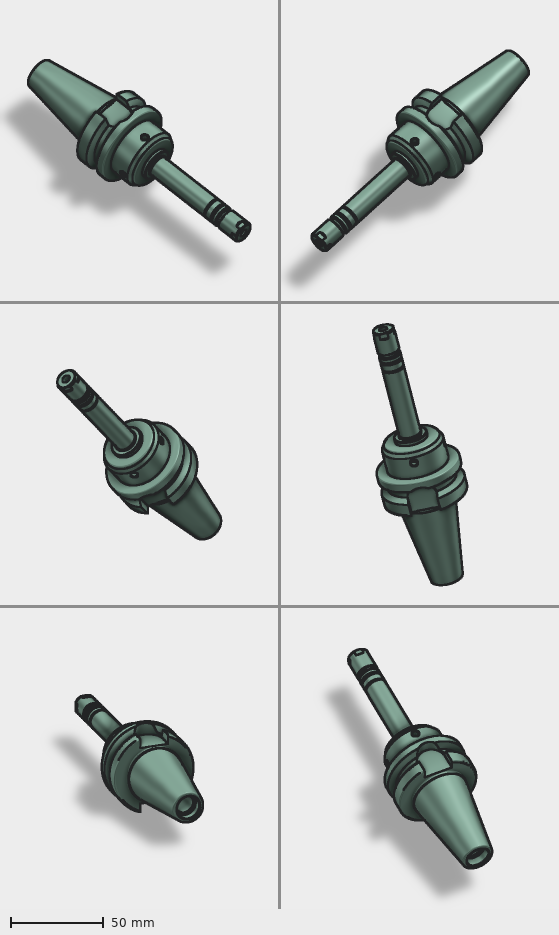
import cadquery as cq
import math

length = 153.4

gauge_x = 48.3
gauge_radius = 15.8
taper_ratio = 7 / 24
tail_round = 0.9
relief_radius = 30.8 / 2
relief_end = 49.5

flange_x = 50.5
flange_end = 70.4
flange_radius = 23.0
rim_round = 0.9
groove_radius = 19.2
groove_top = (57.8, 65.5)
groove_floor = (60.1, 63.5)

slot_width = 16.1
slot_floor = 16.3
slot_end = 67.0

body_radius = 34.0 / 2
body_bevel_start = 82.7
body_bevel_end = 85.0
body_bevel_radius = 15.5
body_end = 86.2
collar_radius = 18.1 / 2
collar_end = 88.5
collar_chamfer = 0.3
step_radius = 12.6 / 2
step_end = 89.5

stem_radius = 12.0 / 2
ring_depth = 0.23
ring_grooves = ((129.5, 130.4), (134.2, 135.6))
stem_bevel_start = 137.8
stem_end = 138.4
stem_bevel = 0.3
gap_radius = 10.0 / 2
nut_start = 140.5
nose_chamfer = 0.6

flat_distance = 5.5
flat_start = 150.2
flat_ramp = 0.5

cone_half_angle = math.radians(59)

mouth_radius = 13.8 / 2
pilot_radius = 12.9 / 2
pilot_depth = 5.5
thread_entry_radius = 12.0 / 2
thread_radius = 10.5 / 2
thread_depth = 24.1
through_radius = 4.5 / 2

screw_x = 79.5
screw_mouth_radius = 4.5 / 2
screw_radius = 3.5 / 2
screw_depth = 4.6

quarter_turns = (0, 90, 180, 270)


def around_axis(body, angle):
    return body.rotate((0, 0, 0), (1, 0, 0), angle)


def taper_radius(x):
    return gauge_radius - (gauge_x - x) * taper_ratio / 2


def rising_round(profile, x, outer_radius, size):
    """Quarter round from the face at x out to the rim at outer_radius."""
    inset = size * (1 - math.sqrt(0.5))
    return profile.lineTo(x, outer_radius - size).threePointArc(
        (x + inset, outer_radius - inset), (x + size, outer_radius)
    )


def falling_round(profile, x, outer_radius, size):
    """Quarter round from the rim at outer_radius in to the face at x."""
    inset = size * (1 - math.sqrt(0.5))
    return profile.lineTo(x - size, outer_radius).threePointArc(
        (x - inset, outer_radius - inset), (x, outer_radius - size)
    )


def hollow_round(profile, x, inner_radius, size):
    """Concave quarter round from a cylinder of inner_radius up to the face at x."""
    inset = size * (1 - math.sqrt(0.5))
    return profile.lineTo(x - size, inner_radius).threePointArc(
        (x - inset, inner_radius + inset), (x, inner_radius + size)
    )


def revolved_body():
    """Outer shape, turned about X."""
    profile = cq.Workplane("XY").moveTo(0, 0)
    profile = rising_round(profile, 0, taper_radius(tail_round), tail_round)
    profile = profile.lineTo(gauge_x, gauge_radius).lineTo(gauge_x, relief_radius)
    profile = hollow_round(profile, flange_x, relief_radius, flange_x - relief_end)
    profile = rising_round(profile, flange_x, flange_radius, rim_round)
    profile = (
        profile.lineTo(groove_top[0], flange_radius)
        .lineTo(groove_floor[0], groove_radius)
        .lineTo(groove_floor[1], groove_radius)
        .lineTo(groove_top[1], flange_radius)
    )
    profile = falling_round(profile, flange_end, flange_radius, rim_round)
    profile = profile.lineTo(flange_end, body_radius).lineTo(body_bevel_start, body_radius)
    profile = falling_round(profile, body_end, body_bevel_radius, body_end - body_bevel_end)
    profile = (
        profile.lineTo(body_end, collar_radius)
        .lineTo(collar_end - collar_chamfer, collar_radius)
        .lineTo(collar_end, collar_radius - collar_chamfer)
        .lineTo(collar_end, step_radius)
        .lineTo(step_end, step_radius)
        .lineTo(step_end, stem_radius)
    )
    for start, end in ring_grooves:
        profile = (
            profile.lineTo(start, stem_radius)
            .lineTo((start + end) / 2, stem_radius - ring_depth)
            .lineTo(end, stem_radius)
        )
    profile = (
        profile.lineTo(stem_bevel_start, stem_radius)
        .lineTo(stem_end, stem_radius - stem_bevel)
        .lineTo(stem_end, gap_radius)
        .lineTo(nut_start, gap_radius)
        .lineTo(nut_start, stem_radius)
        .lineTo(length - nose_chamfer, stem_radius)
        .lineTo(length, stem_radius - nose_chamfer)
        .lineTo(length, 0)
        .close()
    )
    return profile.revolve(360, (0, 0, 0), (1, 0, 0))


def bore():
    """Stepped bore from the tail, ending in a drill cone and a through hole."""
    mouth_chamfer = mouth_radius - pilot_radius
    entry_bevel = thread_entry_radius - thread_radius
    cone_length = (thread_radius - through_radius) / math.tan(cone_half_angle)
    return (
        cq.Workplane("XY")
        .moveTo(0, 0)
        .lineTo(0, mouth_radius)
        .lineTo(mouth_chamfer, pilot_radius)
        .lineTo(pilot_depth, pilot_radius)
        .lineTo(pilot_depth, thread_entry_radius)
        .lineTo(pilot_depth + entry_bevel, thread_radius)
        .lineTo(thread_depth, thread_radius)
        .lineTo(thread_depth + cone_length, through_radius)
        .lineTo(length, through_radius)
        .lineTo(length, 0)
        .close()
        .revolve(360, (0, 0, 0), (1, 0, 0))
    )


def drive_slot():
    """Slot on the +Z side, open toward the tail and rounded at the far end."""
    half_width = slot_width / 2
    round_x = slot_end - half_width
    return (
        cq.Workplane("XY", origin=(0, 0, slot_floor))
        .moveTo(relief_end, -half_width)
        .lineTo(round_x, -half_width)
        .threePointArc((slot_end, 0), (round_x, half_width))
        .lineTo(relief_end, half_width)
        .close()
        .extrude(flange_radius - slot_floor)
    )


def screw_hole():
    """Countersunk blind hole on the +Z side with a drill-cone bottom."""
    countersink = screw_mouth_radius - screw_radius
    floor_z = body_radius - screw_depth
    tip_z = floor_z - screw_radius / math.tan(cone_half_angle)
    return (
        cq.Workplane("XZ", origin=(screw_x, 0, 0))
        .moveTo(0, tip_z)
        .lineTo(screw_radius, floor_z)
        .lineTo(screw_radius, body_radius - countersink)
        .lineTo(screw_mouth_radius, body_radius)
        .lineTo(0, body_radius)
        .close()
        .revolve(360, (0, 0, 0), (0, 1, 0))
    )


def nose_flat():
    """Flat on the +Z side of the nose with a sloped run-out."""
    return (
        cq.Workplane("XZ")
        .moveTo(flat_start, flat_distance)
        .lineTo(flat_start - flat_ramp, stem_radius)
        .lineTo(length, stem_radius)
        .lineTo(length, flat_distance)
        .close()
        .extrude(stem_radius, both=True)
    )


result = revolved_body().cut(bore())
for angle in (0, 180):
    result = result.cut(around_axis(drive_slot(), angle))
for angle in quarter_turns:
    result = result.cut(around_axis(screw_hole(), angle))
    result = result.cut(around_axis(nose_flat(), angle))